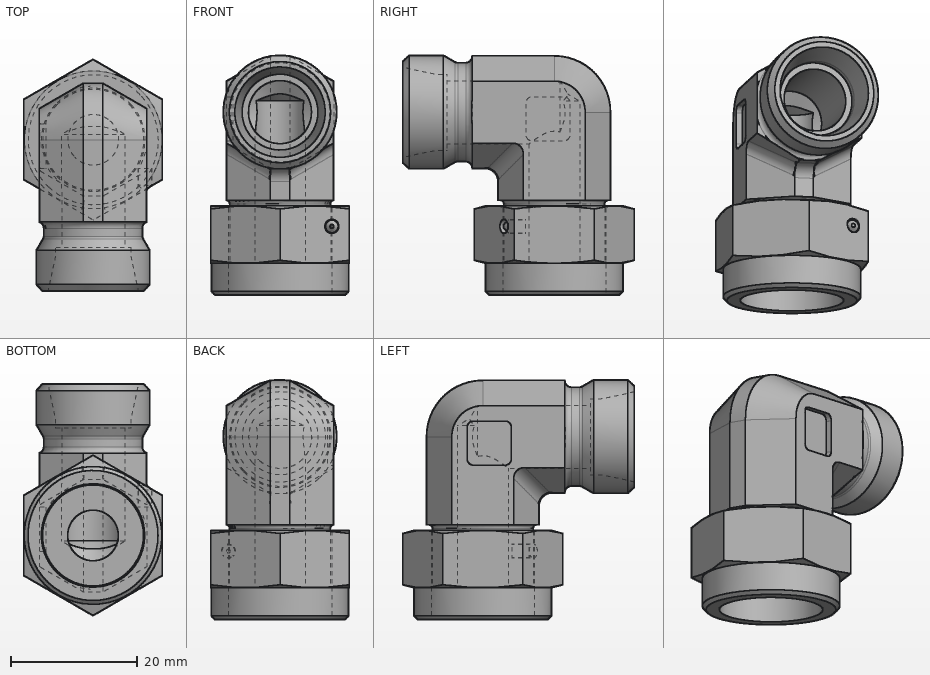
import cadquery as cq
import math


OVERALL_HEIGHT = 38
HEX_HALF_ANGLE = math.radians(30)

BLOCK_FLATS = 17.0
BLOCK_REACH = 8.93
LEG_DOWN_END = 14.0
LEG_OUT_END = 13.0
CROTCH_RADIUS = 2.0
BADGE_SIZE = 7.0
BADGE_DEPTH = 1.0
BADGE_RADIUS = 1.0
BADGE_OFFSET = 1.03

OUT_BORE_D = 10.0
DOWN_BORE_D = 8.0
OUT_BORE_APEX = 3.88
DOWN_BORE_APEX = 4.18
DRILL_HALF_ANGLE = 59
SEAT_D = 12.0
SEAT_DEPTH = 7.0
SEAT_MOUTH_D = 14.33
SEAT_HALF_ANGLE = 12

SPIGOT_END = 24.0
SPIGOT_D = 18.0
SPIGOT_NECK_D = 15.7
SPIGOT_ROOT_RADIUS = 1.03
RUNOUT_START = 15.3
RUNOUT_ANGLE = 30
RUNOUT_RADIUS = 0.87
TIP_CHAMFER_LENGTH = 1.05
TIP_CHAMFER_DEPTH = 1.0

SHANK_D = 16.0
SHANK_ROOT_RADIUS = 0.5

NUT_FLATS = 22.0
NUT_TOP = -14.85
HEX_BOTTOM = -23.95
NUT_BOTTOM = SPIGOT_D / 2 - OVERALL_HEIGHT
COLLAR_D = 21.8
COLLAR_CHAMFER = 0.6
HEX_CHAMFER_ANGLE = 15
NUT_BORE_D = 16.38

PIN_D = 2.0
PIN_HOLE_D = 2.2
PIN_X = 8.2
PIN_Z = -18.1
PIN_TIP_D = 0.6
PIN_TIP_Y = -7.98
PIN_INNER_Y = -4.55

SIDE_CORNER = BLOCK_FLATS / 2 * math.tan(HEX_HALF_ANGLE)
CUT_TIP_HEIGHT = BLOCK_FLATS / 2 / math.cos(HEX_HALF_ANGLE) - BLOCK_REACH
END_FLAT_HALF = CUT_TIP_HEIGHT / math.tan(HEX_HALF_ANGLE)


def block_half_section():
    """Corners of one half of the bar section, from side flat to side flat."""
    half = BLOCK_FLATS / 2
    return [(-half, 0), (-half, SIDE_CORNER), (-END_FLAT_HALF, BLOCK_REACH),
            (END_FLAT_HALF, BLOCK_REACH), (half, SIDE_CORNER), (half, 0)]


def bar(plane, length):
    """Full bar section extruded from the origin."""
    half = block_half_section()
    mirrored = [(-x, -v) for x, v in half]
    return cq.Workplane(plane).polyline(half[1:5] + mirrored[1:5]).close().extrude(length)


def revolve_about_z(points):
    return cq.Workplane("XZ").polyline(points).close().revolve(360, (0, 0), (0, 1))


def elbow_block():
    legs = bar("XY", -LEG_DOWN_END).union(bar("XZ", LEG_OUT_END))
    bend = (cq.Workplane("XZ").polyline(block_half_section()).close()
            .revolve(90, (0, 0), (-1, 0)))
    margin = 0.38
    near = -SIDE_CORNER - margin
    far = -BLOCK_REACH - margin
    seam = cq.selectors.BoxSelector((-BLOCK_FLATS, far, far), (BLOCK_FLATS, near, near))
    return legs.edges(seam).fillet(CROTCH_RADIUS).union(bend)


def spigot():
    """Neck, run-out cone and plain end, turned about the Y axis."""
    neck_r = SPIGOT_NECK_D / 2
    outer_r = SPIGOT_D / 2
    angle = math.radians(RUNOUT_ANGLE)
    mid = angle / 2
    cone_start_r = neck_r + RUNOUT_RADIUS * (1 - math.cos(angle))
    cone_start = RUNOUT_START + RUNOUT_RADIUS * math.sin(angle)
    cone_end = cone_start + (outer_r - cone_start_r) / math.tan(angle)
    arc_mid = (neck_r + RUNOUT_RADIUS * (1 - math.cos(mid)), -RUNOUT_START - RUNOUT_RADIUS * math.sin(mid))
    return (cq.Workplane("XY").moveTo(0, 0).lineTo(neck_r, 0).lineTo(neck_r, -RUNOUT_START)
            .threePointArc(arc_mid, (cone_start_r, -cone_start))
            .lineTo(outer_r, -cone_end)
            .lineTo(outer_r, TIP_CHAMFER_LENGTH - SPIGOT_END)
            .lineTo(outer_r - TIP_CHAMFER_DEPTH, -SPIGOT_END)
            .lineTo(0, -SPIGOT_END).close()
            .revolve(360, (0, 0), (0, 1)))


def root_flare(plane, neck_d, radius):
    """Concave flare at a leg end, standing on the given plane and widest there."""
    neck_r = neck_d / 2
    sag = radius * (1 - math.cos(math.radians(45)))
    return (cq.Workplane(plane).moveTo(0, 0).lineTo(neck_r + radius, 0)
            .threePointArc((neck_r + sag, -sag), (neck_r, -radius))
            .lineTo(0, -radius).close()
            .revolve(360, (0, 0), (0, 1)))


def drill_shoulder(diameter, apex):
    """Distance past the origin where a bore starts to narrow to its drill point."""
    return apex - diameter / 2 / math.tan(math.radians(DRILL_HALF_ANGLE))


def down_bore():
    r = DOWN_BORE_D / 2
    shoulder = drill_shoulder(DOWN_BORE_D, DOWN_BORE_APEX)
    return revolve_about_z([(0, HEX_BOTTOM), (r, HEX_BOTTOM), (r, shoulder), (0, DOWN_BORE_APEX)])


def out_bore():
    """Drilled bore, cylindrical seat and conical mouth about the Y axis."""
    r = OUT_BORE_D / 2
    seat_r = SEAT_D / 2
    mouth_r = SEAT_MOUTH_D / 2
    cone_depth = (mouth_r - seat_r) / math.tan(math.radians(SEAT_HALF_ANGLE))
    shoulder = drill_shoulder(OUT_BORE_D, OUT_BORE_APEX)
    seat_y = SEAT_DEPTH - SPIGOT_END
    points = [(0, OUT_BORE_APEX), (r, shoulder), (r, seat_y), (seat_r, seat_y),
              (seat_r, cone_depth - SPIGOT_END),
              (mouth_r, -SPIGOT_END), (0, -SPIGOT_END)]
    return cq.Workplane("XY").polyline(points).close().revolve(360, (0, 0), (0, 1))


def badge_recess():
    return (cq.Workplane("YZ", origin=(-BLOCK_FLATS / 2, 0, 0))
            .center(-BADGE_OFFSET, -BADGE_OFFSET).rect(BADGE_SIZE, BADGE_SIZE)
            .extrude(BADGE_DEPTH).edges("|X").fillet(BADGE_RADIUS))


def make_elbow():
    shank = cq.Workplane("XY").circle(SHANK_D / 2).extrude(HEX_BOTTOM)
    out_flare = root_flare(cq.Plane((0, -LEG_OUT_END, 0), (1, 0, 0), (0, 0, 1)),
                           SPIGOT_NECK_D, SPIGOT_ROOT_RADIUS)
    out_flare = out_flare.intersect(bar("XZ", SPIGOT_END))
    down_flare = root_flare(cq.Plane((0, 0, -LEG_DOWN_END), (1, 0, 0), (0, -1, 0)),
                            SHANK_D, SHANK_ROOT_RADIUS)
    body = elbow_block().union(spigot()).union(shank).union(out_flare).union(down_flare)
    return body.cut(out_bore()).cut(down_bore()).cut(badge_recess())


def pin_hole():
    return (cq.Workplane("XZ", origin=(PIN_X, PIN_INNER_Y, PIN_Z))
            .circle(PIN_HOLE_D / 2).extrude(NUT_FLATS))


def make_nut():
    corner_d = NUT_FLATS / math.cos(HEX_HALF_ANGLE)
    collar_r = COLLAR_D / 2
    corner_drop = (corner_d - COLLAR_D) / 2 * math.tan(math.radians(HEX_CHAMFER_ANGLE))
    hexagon = (cq.Workplane("XY", origin=(0, 0, HEX_BOTTOM)).polygon(6, corner_d)
               .extrude(NUT_TOP - HEX_BOTTOM).rotate((0, 0, 0), (0, 0, 1), math.degrees(HEX_HALF_ANGLE)))
    corner_r = corner_d / 2
    chamfered = revolve_about_z([(0, NUT_TOP), (collar_r, NUT_TOP), (corner_r, NUT_TOP - corner_drop),
                                 (corner_r, HEX_BOTTOM + corner_drop), (collar_r, HEX_BOTTOM),
                                 (0, HEX_BOTTOM)])
    collar = (cq.Workplane("XY", origin=(0, 0, NUT_BOTTOM)).circle(collar_r)
              .extrude(HEX_BOTTOM - NUT_BOTTOM).faces("<Z").chamfer(COLLAR_CHAMFER))
    bore = (cq.Workplane("XY", origin=(0, 0, NUT_BOTTOM)).circle(NUT_BORE_D / 2)
            .extrude(NUT_TOP - NUT_BOTTOM))
    return hexagon.intersect(chamfered).union(collar).cut(bore).cut(pin_hole())


def make_pin():
    """Straight pin with a 45 degree pointed outer end."""
    point = (PIN_D - PIN_TIP_D) / 2
    return (cq.Workplane("XZ", origin=(PIN_X, PIN_INNER_Y, PIN_Z)).circle(PIN_D / 2)
            .extrude(PIN_INNER_Y - PIN_TIP_Y).faces("<Y").chamfer(point))


elbow = make_elbow()
nut = make_nut()
pin = make_pin()

result = cq.Compound.makeCompound([elbow.solids().val(), nut.solids().val(), pin.solids().val()])